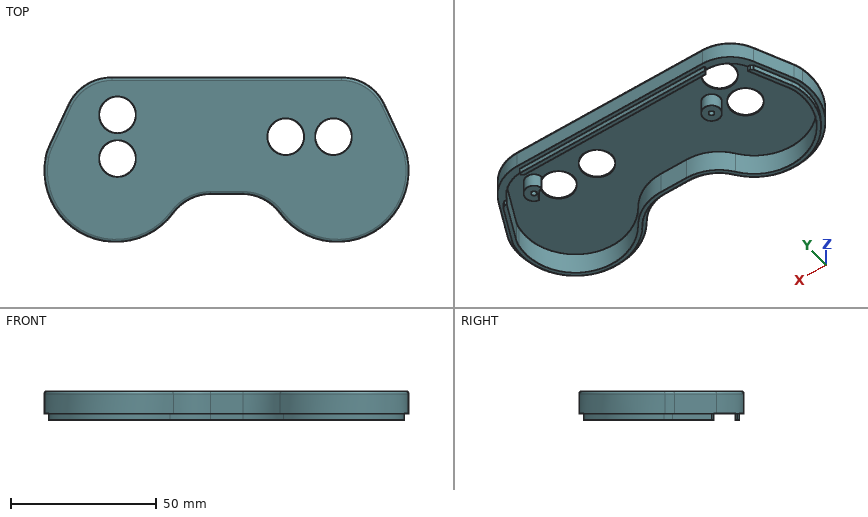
import cadquery as cq
import math


length = 125.6
back_half_width = 39.6
corner_radius = 16.5
side_slope = math.radians(25)
lobe_radius = 24.6
lobe_center_x = length / 2 - lobe_radius
depth = 56.8
lobe_center_y = lobe_radius - depth
knuckle_radius = 14.8
notch_half_width = 5.5
notch_radius = 16.0

height = 10.0
lip_height = 2.3
top_edge_fillet = 1.0
roof_thickness = 0.5
wall_thickness = 3.0
lip_inset = 1.5

gap_depth = 10.3
gap_bevel = 0.8
gap_side_x = 52.6

button_diameter = 12.5
button_row_y = -20.5
left_button_x = -37.5
left_button_pitch = 15.1
right_button_mid_x = 28.6
right_button_pitch = 16.5
button_clearance_diameter = 13.8

boss_diameter = 7.2
pilot_diameter = 2.0
boss_bottom = 3.6
corner_boss_offset = 8.5
middle_boss_center = (-28.1, -21.1)

left_buttons = [(left_button_x, button_row_y + side * left_button_pitch / 2) for side in (1, -1)]
right_buttons = [(right_button_mid_x + side * right_button_pitch / 2, button_row_y) for side in (-1, 1)]
corner_button = right_buttons[1]


def polar(center, radius, angle):
    """Point at the given angle and radius from a center."""
    return (center[0] + radius * math.cos(angle), center[1] + radius * math.sin(angle))


corner_boss_center = polar(corner_button, corner_boss_offset, math.pi / 4)


def knuckle_center(corner, lobe):
    """Center of the arc that rounds the meeting of the sloped side and the lobe."""
    across = (math.cos(side_slope), math.sin(side_slope))
    along = (math.sin(side_slope), -math.cos(side_slope))
    offset = (corner[0] - lobe[0], corner[1] - lobe[1])
    across_distance = offset[0] * across[0] + offset[1] * across[1] + corner_radius - knuckle_radius
    along_distance = math.sqrt((lobe_radius - knuckle_radius) ** 2 - across_distance**2)
    return (
        lobe[0] + across_distance * across[0] + along_distance * along[0],
        lobe[1] + across_distance * across[1] + along_distance * along[1],
    )


def housing_outline():
    """Closed outline; arcs are found for the +X half and mirrored to the -X half."""
    corner = (back_half_width, -corner_radius)
    lobe = (lobe_center_x, lobe_center_y)
    knuckle = knuckle_center(corner, lobe)
    notch_run = lobe_center_x - notch_half_width
    notch_rise = math.sqrt((lobe_radius + notch_radius) ** 2 - notch_run**2)
    notch = (notch_half_width, lobe_center_y - notch_rise)
    knuckle_end = math.atan2(knuckle[1] - lobe[1], knuckle[0] - lobe[0])
    lobe_end = math.atan2(-notch_rise, -notch_run)

    arcs = [
        (corner, corner_radius, math.pi / 2, side_slope),
        (knuckle, knuckle_radius, side_slope, knuckle_end),
        (lobe, lobe_radius, knuckle_end, lobe_end),
        (notch, notch_radius, lobe_end + math.pi, math.pi / 2),
    ]
    points = [[polar(c, r, a) for a in (start, (start + end) / 2, end)] for c, r, start, end in arcs]
    mirrored = [[(-x, y) for x, y in reversed(arc)] for arc in reversed(points)]

    same_point_tolerance = 1.26e-06
    here = (-back_half_width, 0)
    outline = cq.Workplane("XY").moveTo(*here)
    for first, middle, last in points + mirrored:
        if math.dist(here, first) > same_point_tolerance:
            outline = outline.lineTo(*first)
        outline = outline.threePointArc(middle, last)
        here = last
    return outline.close()


def prism(inset, bottom, top):
    """Housing outline moved inward by the inset and extruded between two heights."""
    outline = housing_outline()
    if inset > 0:
        outline = outline.offset2D(-inset)
    return outline.extrude(top - bottom).translate((0, 0, bottom))


def cylinders(centers, diameter, bottom, top):
    """Upright cylinders of one diameter between two heights."""
    circles = cq.Workplane("XY", origin=(0, 0, bottom)).pushPoints(centers).circle(diameter / 2)
    return circles.extrude(top - bottom)


def lip_with_gaps():
    """Thin lip below the walls, cut away around both back corners."""
    lip = prism(lip_inset, 0, lip_height)
    lip_middle_y = -(lip_inset + wall_thickness) / 2
    gap_outline = [
        (back_half_width, 0),
        (back_half_width, lip_middle_y),
        (back_half_width - gap_bevel, lip_middle_y - gap_bevel),
        (back_half_width - gap_bevel, -gap_depth),
        (gap_side_x, -gap_depth),
        (gap_side_x + gap_bevel, -gap_depth - gap_bevel),
        (length / 2, -gap_depth - gap_bevel),
        (length / 2, 0),
    ]
    for side in (-1, 1):
        gap = cq.Workplane("XY").polyline([(side * x, y) for x, y in gap_outline]).close()
        lip = lip.cut(gap.extrude(lip_height))
    return lip


def bosses():
    """Screw bosses with blind pilot holes; the corner boss clears its neighbouring button."""
    centers = [corner_boss_center, middle_boss_center]
    roof_bottom = height - roof_thickness
    posts = cylinders(centers, boss_diameter, boss_bottom, roof_bottom)
    clearance = cylinders([corner_button], button_clearance_diameter, boss_bottom, roof_bottom)
    posts = posts.cut(clearance)
    return posts.cut(cylinders(centers, pilot_diameter, boss_bottom, roof_bottom))


shell = prism(0, lip_height, height).faces(">Z").edges().fillet(top_edge_fillet)
shell = shell.union(lip_with_gaps())
shell = shell.cut(prism(wall_thickness, 0, height - roof_thickness))
shell = shell.union(bosses())
result = shell.cut(cylinders(left_buttons + right_buttons, button_diameter, 0, height))